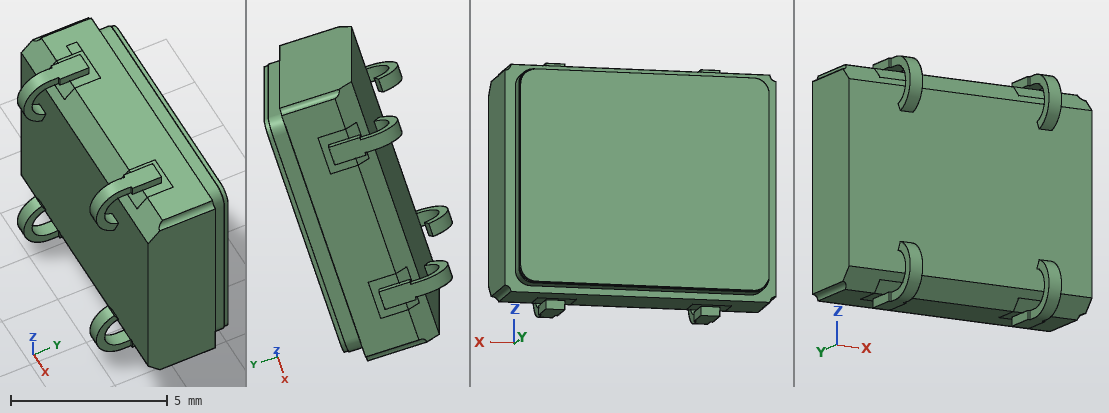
import cadquery as cq
import math


body_width = 8.89
body_height = 7.4
body_depth = 2.42
front_chamfer = 0.62
corner_groove_radius = 0.2

cover_width = 8.2
cover_height = 6.97
cover_corner_radius = 0.5
cover_base_depth = 0.5
cover_cap_depth = 0.15
cover_cap_inset = 0.03

lead_pitch = 5.08
pad_width = 1.27
pad_length = 1.3
pad_thickness = 0.37
pad_front_y = front_chamfer - pad_thickness
pad_back_y = pad_front_y + pad_length

mark_width = 0.4
mark_length = 0.37

lead_thickness = 0.3
lead_foot_width = 0.62
lead_foot_length = 1.05
lead_neck_width = 0.46
lead_bend_y = -0.05
lead_outer_radius = 0.95
lead_inner_radius = lead_outer_radius - lead_thickness
lead_outer_bend_angle = math.radians(161.3)
lead_inner_bend_angle = math.radians(166.3)

side_z = body_height / 2
lead_columns = (-lead_pitch / 2, lead_pitch / 2)


def block(x_range, y_range, z_range):
    """Box between the given limits on each axis."""
    sizes = [high - low for low, high in (x_range, y_range, z_range)]
    corner = (x_range[0], y_range[0], z_range[0])
    return cq.Workplane("XY").box(*sizes, centered=False).translate(corner)


def slab(width, height, front_y, depth):
    """Box centred on X and Z that runs from front_y toward +Y."""
    return block((-width / 2, width / 2), (front_y, front_y + depth), (-height / 2, height / 2))


def make_envelope():
    """Package outline: chamfered body with grooved corners and the stepped cover."""
    body = slab(body_width, body_height, 0, body_depth)
    body = body.faces("<Y").edges("|X").chamfer(front_chamfer)
    grooves = (
        cq.Workplane("XZ")
        .rect(body_width, body_height, forConstruction=True)
        .vertices()
        .circle(corner_groove_radius)
        .extrude(-body_depth)
    )
    base = slab(cover_width, cover_height, body_depth, cover_base_depth)
    base = base.edges("|Y").fillet(cover_corner_radius)
    cap = slab(
        cover_width - 2 * cover_cap_inset,
        cover_height - 2 * cover_cap_inset,
        body_depth + cover_base_depth,
        cover_cap_depth,
    )
    cap = cap.edges("|Y").fillet(cover_corner_radius)
    return body.cut(grooves).union(base).union(cap)


def make_top_pad(x, envelope):
    """Pad in the top side, trimmed to the package chamfer."""
    pad = block(
        (x - pad_width / 2, x + pad_width / 2),
        (pad_front_y, pad_back_y),
        (side_z - pad_thickness, side_z),
    )
    return pad.intersect(envelope)


def make_index_mark():
    """Small flush mark that touches the outer side of the first top pad."""
    inner_x = lead_columns[0] - pad_width / 2
    return block(
        (inner_x - mark_width, inner_x),
        (pad_back_y - mark_length, pad_back_y),
        (side_z - pad_thickness, side_z),
    )


def make_top_lead(x):
    """Lead on a top pad: wide foot, then a narrow strip curled down in front of the package."""
    foot_z = (side_z, side_z + lead_thickness)
    foot_front_y = pad_front_y
    foot_y = (foot_front_y, foot_front_y + lead_foot_length)
    foot = block((x - lead_foot_width / 2, x + lead_foot_width / 2), foot_y, foot_z)

    centre_z = side_z - lead_inner_radius

    def bend_point(radius, angle):
        """Point on the bend, with the angle measured from +Z toward -Y."""
        return (lead_bend_y - radius * math.sin(angle), centre_z + radius * math.cos(angle))

    strip = (
        cq.Workplane("YZ", origin=(x, 0, 0))
        .moveTo(foot_front_y, side_z + lead_thickness)
        .lineTo(*bend_point(lead_outer_radius, 0))
        .threePointArc(
            bend_point(lead_outer_radius, lead_outer_bend_angle / 2),
            bend_point(lead_outer_radius, lead_outer_bend_angle),
        )
        .lineTo(*bend_point(lead_inner_radius, lead_inner_bend_angle))
        .threePointArc(
            bend_point(lead_inner_radius, lead_inner_bend_angle / 2),
            bend_point(lead_inner_radius, 0),
        )
        .lineTo(foot_front_y, side_z)
        .close()
        .extrude(lead_neck_width / 2, both=True)
    )
    return foot.union(strip)


envelope = make_envelope()

pads = []
leads = []
for column_x in lead_columns:
    top_pad = make_top_pad(column_x, envelope)
    top_lead = make_top_lead(column_x)
    pads += [top_pad, top_pad.mirror("XY")]
    leads += [top_lead, top_lead.mirror("XY")]

index_mark = make_index_mark()

package = envelope.cut(index_mark)
for pad in pads:
    package = package.cut(pad)

result = cq.Compound.makeCompound(
    [
        package.val(),
        index_mark.val(),
        *[pad.val() for pad in pads],
        *[lead.val() for lead in leads],
    ]
)